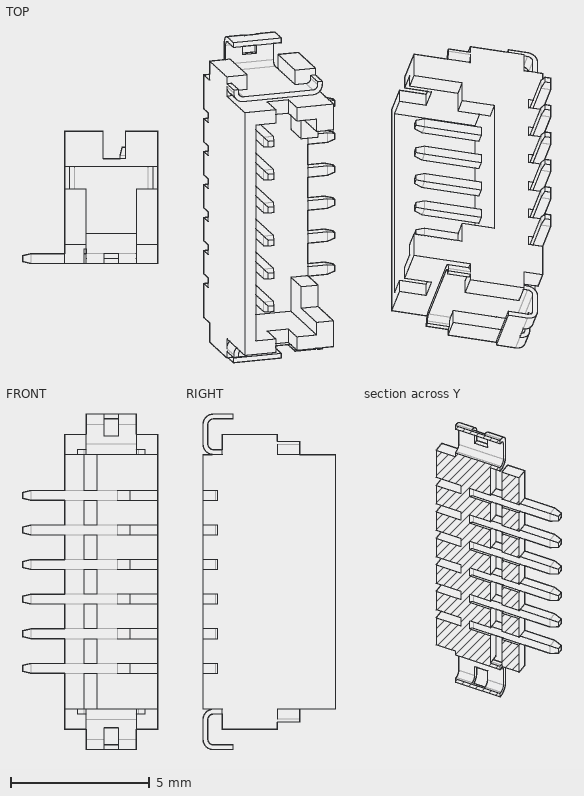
import cadquery as cq


WIDTH = 3.38
DEPTH = 4.8
HALF_WIDTH = WIDTH / 2
END_Z = 4.6

CAVITY_FLOOR_Y = 1.8
CAVITY_HALF_LENGTH = 4.1
NEAR_WALL = 0.65
FAR_WALL = 0.43

UPPER_OPENING_Y = 3.0
UPPER_OPENING_HALF_LENGTH = 3.62
LOWER_OPENING_HALF_LENGTH = 2.81

NOTCH_X = 0.11
NOTCH_WIDTH = 0.8
NOTCH_FLOOR_Y = 3.8

CHANNEL_DEPTH = 0.52
GROOVE_LEFT_X = -0.98
GROOVE_WIDTH = 0.46

PIN_COUNT = 6
PIN_PITCH = 1.25
PIN_SIZE = 0.36
PIN_TIP_SIZE = 0.22
PIN_TIP_LENGTH = 0.3
OVERALL_WIDTH = 4.9
PIN_FRONT_X = HALF_WIDTH - OVERALL_WIDTH
PIN_BACK_Y = 4.22
PIN_LEG_X = 0.68
PIN_BEND_RADIUS = 0.46

CLIP_END_Z = 6.08
SHEET = 0.18
CLIP_WIDTH = 1.82
CLIP_BEND_RADIUS = 0.38
CLIP_LIP_Y = 1.09
CLIP_BACK_Y = 3.51
WINDOW_WIDTH = 0.52
WINDOW_BOTTOM_Z = 5.29
EAR_TOP_Z = 5.08
EAR_BEND_RADIUS = 0.36

WING_FRONT_Y = 0.69
WING_BACK_Y = 2.7
WING_HEIGHT = 0.73
SHOULDER_WIDTH = 2.43
SHOULDER_FRONT_Y = 1.09
SHOULDER_RADIUS = 0.23

PIN_HEIGHTS = [(i - (PIN_COUNT - 1) / 2) * PIN_PITCH for i in range(PIN_COUNT)]


def box(x, y, z):
    """Box from (start, end) pairs along each axis."""
    size = (x[1] - x[0], y[1] - y[0], z[1] - z[0])
    return cq.Workplane("XY").box(*size, centered=False).translate((x[0], y[0], z[0]))


def both_ways(half):
    return (-half, half)


def make_housing():
    body = box(both_ways(HALF_WIDTH), (0, DEPTH), both_ways(END_Z))
    cavity_x = (-HALF_WIDTH + NEAR_WALL, HALF_WIDTH - FAR_WALL)
    near_wall_x = (-HALF_WIDTH, cavity_x[0])
    notch_x = (NOTCH_X - NOTCH_WIDTH / 2, NOTCH_X + NOTCH_WIDTH / 2)
    groove_x = (GROOVE_LEFT_X, GROOVE_LEFT_X + GROOVE_WIDTH)

    body = body.cut(box(cavity_x, (CAVITY_FLOOR_Y, DEPTH), both_ways(CAVITY_HALF_LENGTH)))
    body = body.cut(box(near_wall_x, (UPPER_OPENING_Y, DEPTH), both_ways(UPPER_OPENING_HALF_LENGTH)))
    body = body.cut(
        box(near_wall_x, (CAVITY_FLOOR_Y, UPPER_OPENING_Y), both_ways(LOWER_OPENING_HALF_LENGTH))
    )
    body = body.cut(box(notch_x, (NOTCH_FLOOR_Y, DEPTH), both_ways(END_Z)))
    body = body.cut(box(groove_x, (0, CHANNEL_DEPTH), both_ways(END_Z)))
    for z in PIN_HEIGHTS:
        slot_z = (z - PIN_SIZE / 2, z + PIN_SIZE / 2)
        body = body.cut(box(both_ways(HALF_WIDTH), (0, CHANNEL_DEPTH), slot_z))
    return body


def make_pin_tip():
    """Tapered tip pointing along +Z, its base centred on the origin."""
    return (
        cq.Workplane("XY")
        .rect(PIN_SIZE, PIN_SIZE)
        .workplane(offset=PIN_TIP_LENGTH)
        .rect(PIN_TIP_SIZE, PIN_TIP_SIZE)
        .loft(ruled=True)
    )


def make_pin():
    """L-shaped pin at z = 0: one leg along X on the board face, one along Y into the cavity."""
    front_x = PIN_FRONT_X + PIN_TIP_LENGTH
    back_y = PIN_BACK_Y - PIN_TIP_LENGTH
    inner_x = PIN_LEG_X - PIN_SIZE
    inner_radius = PIN_BEND_RADIUS - PIN_SIZE
    pin = (
        cq.Workplane("XY")
        .moveTo(front_x, 0)
        .lineTo(PIN_LEG_X - PIN_BEND_RADIUS, 0)
        .radiusArc((PIN_LEG_X, PIN_BEND_RADIUS), -PIN_BEND_RADIUS)
        .lineTo(PIN_LEG_X, back_y)
        .lineTo(inner_x, back_y)
        .lineTo(inner_x, PIN_BEND_RADIUS)
        .radiusArc((inner_x - inner_radius, PIN_SIZE), inner_radius)
        .lineTo(front_x, PIN_SIZE)
        .close()
        .extrude(PIN_SIZE / 2, both=True)
    )
    front_tip = make_pin_tip().rotate((0, 0, 0), (0, 1, 0), -90).translate((front_x, PIN_SIZE / 2, 0))
    leg_centre_x = PIN_LEG_X - PIN_SIZE / 2
    back_tip = make_pin_tip().rotate((0, 0, 0), (1, 0, 0), -90).translate((leg_centre_x, back_y, 0))
    return pin.union(front_tip).union(back_tip)


def make_wings():
    """Pair of wings on the +Z end, pocketed along their inner edges."""
    wing_z = (END_Z, END_Z + WING_HEIGHT)
    wings = box(both_ways(HALF_WIDTH), (WING_FRONT_Y, WING_BACK_Y), wing_z)
    wings = wings.cut(box(both_ways(CLIP_WIDTH / 2), (WING_FRONT_Y, WING_BACK_Y), wing_z))
    pocket_y = (WING_FRONT_Y, WING_BACK_Y)
    return wings.cut(box(both_ways(SHOULDER_WIDTH / 2), pocket_y, (END_Z, END_Z + SHEET)))


def make_clip_hook():
    """Bent strip in front of the +Z end, from the base plate up and back to the free lip."""
    strip = (
        box(both_ways(CLIP_WIDTH / 2), (0, CLIP_LIP_Y), (END_Z, CLIP_END_Z))
        .edges("|X and <Y")
        .fillet(CLIP_BEND_RADIUS)
    )
    hollow = (
        box(both_ways(CLIP_WIDTH / 2), (SHEET, CLIP_LIP_Y), (END_Z + SHEET, CLIP_END_Z - SHEET))
        .edges("|X and <Y")
        .fillet(CLIP_BEND_RADIUS - SHEET)
    )
    window = box(both_ways(WINDOW_WIDTH / 2), (0, CLIP_BEND_RADIUS), (WINDOW_BOTTOM_Z, CLIP_END_Z))
    return strip.cut(hollow).cut(window)


def make_clip_base():
    """Flat plate on the +Z end: rounded shoulders in the wing pocket, upturned ears behind the wings."""
    plate_z = (END_Z, END_Z + SHEET)
    shoulders = (
        box(both_ways(SHOULDER_WIDTH / 2), (SHOULDER_FRONT_Y, WING_BACK_Y), plate_z)
        .edges("|Z and <Y")
        .fillet(SHOULDER_RADIUS)
    )
    ear_y = (WING_BACK_Y, CLIP_BACK_Y)
    ears = (
        box(both_ways(HALF_WIDTH), ear_y, (END_Z, EAR_TOP_Z))
        .edges("|Y and <Z")
        .fillet(EAR_BEND_RADIUS)
    )
    trough = (
        box(both_ways(HALF_WIDTH - SHEET), ear_y, (END_Z + SHEET, EAR_TOP_Z))
        .edges("|Y and <Z")
        .fillet(EAR_BEND_RADIUS - SHEET)
    )
    return shoulders.union(ears.cut(trough))


result = make_housing()

for end_part in (make_wings(), make_clip_base(), make_clip_hook()):
    result = result.union(end_part).union(end_part.mirror("XY"))

for pin_z in PIN_HEIGHTS:
    result = result.union(make_pin().translate((0, 0, pin_z)), clean=False)